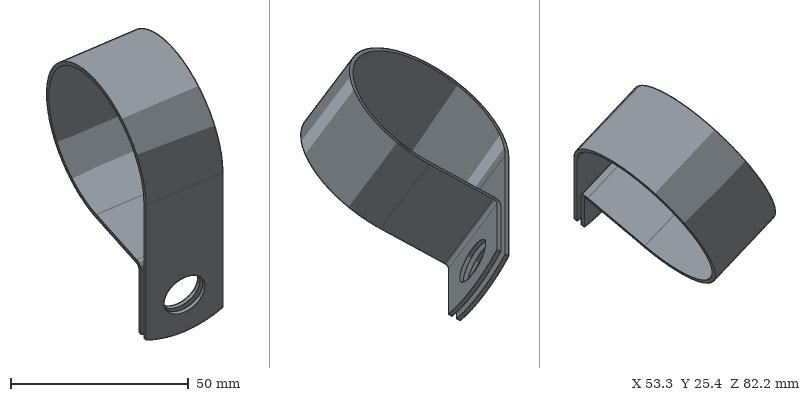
import cadquery as cq
import math

height = 82.2
loop_diameter = 53.25
width = 25.4
thickness = 1.2
leg_gap = 1.5
bend_outer_radius = 2.5
hole_diameter = 13.5
hole_height = 14.3
tip_radius = 27.9

outer_radius = loop_diameter / 2
inner_radius = outer_radius - thickness
loop_z = height - outer_radius
shelf_bottom = loop_z - outer_radius
shelf_top = shelf_bottom + thickness
bend_inner_radius = bend_outer_radius - thickness
short_leg_outer = inner_radius - leg_gap
short_leg_inner = short_leg_outer - thickness
bend_x = short_leg_outer - bend_outer_radius
bend_z = shelf_top - bend_outer_radius
diagonal = math.sqrt(0.5)


def strap():
    """Bent strip: long leg, three-quarter loop, flat shelf and short leg."""
    profile = (
        cq.Workplane("XZ")
        .moveTo(outer_radius, 0)
        .lineTo(outer_radius, loop_z)
        .threePointArc(
            (-outer_radius * diagonal, loop_z + outer_radius * diagonal),
            (0, shelf_bottom),
        )
        .lineTo(bend_x, shelf_bottom)
        .threePointArc(
            (bend_x + bend_inner_radius * diagonal, bend_z + bend_inner_radius * diagonal),
            (short_leg_inner, bend_z),
        )
        .lineTo(short_leg_inner, 0)
        .lineTo(short_leg_outer, 0)
        .lineTo(short_leg_outer, bend_z)
        .threePointArc(
            (bend_x + bend_outer_radius * diagonal, bend_z + bend_outer_radius * diagonal),
            (bend_x, shelf_top),
        )
        .lineTo(0, shelf_top)
        .threePointArc(
            (-inner_radius * diagonal, loop_z + inner_radius * diagonal),
            (inner_radius, loop_z),
        )
        .lineTo(inner_radius, 0)
        .close()
    )
    return profile.extrude(width / 2, both=True)


def side_outline():
    """Solid seen along X with a straight top and the rounded leg ends."""
    half_width = width / 2
    corner_z = tip_radius - math.sqrt(tip_radius**2 - half_width**2)
    return (
        cq.Workplane("YZ")
        .moveTo(-half_width, height)
        .lineTo(-half_width, corner_z)
        .threePointArc((0, 0), (half_width, corner_z))
        .lineTo(half_width, height)
        .close()
        .extrude(outer_radius, both=True)
    )


def bolt_hole():
    """Cylinder along X that passes through both legs."""
    return (
        cq.Workplane("YZ")
        .center(0, hole_height)
        .circle(hole_diameter / 2)
        .extrude(outer_radius, both=True)
    )


result = strap().intersect(side_outline()).cut(bolt_hole())